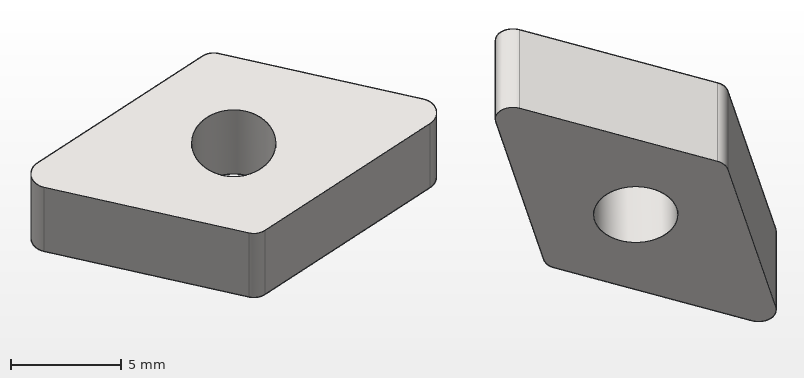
import cadquery as cq
import math

length = 16.82
thickness = 4.76
acute_angle = 55.0
corner_radius = 0.8
hole_diameter = 3.82

half_angle_tangent = math.tan(math.radians(acute_angle / 2))
corner_center_x = length / 2 - corner_radius
width = 2 * (corner_center_x * half_angle_tangent + corner_radius)

half_width = width / 2
acute_x = half_width / half_angle_tangent
obtuse_x = half_width * half_angle_tangent

rhombus = [
    (-acute_x, -half_width),
    (obtuse_x, -half_width),
    (acute_x, half_width),
    (-obtuse_x, half_width),
]

body = cq.Workplane("XY").polyline(rhombus).close().extrude(thickness)
body = body.edges("|Z").fillet(corner_radius)

result = body.faces(">Z").workplane(origin=(0, 0, thickness)).hole(hole_diameter)